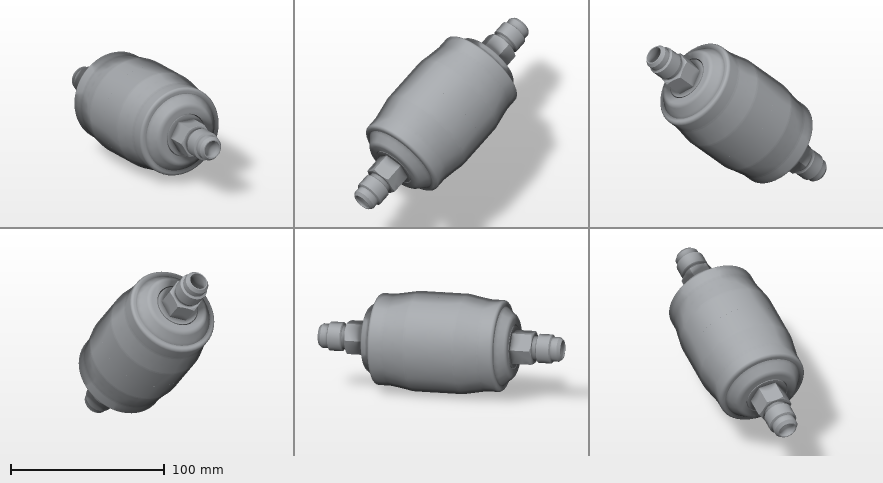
import cadquery as cq
import math

total_length = 163.8
tip_end = total_length / 2
tip_cone_base = 79.8
thread_outer_end = 75.5
thread_inner_end = 65.5
hex_end = 63.0
shell_end = 49.3
step_face = 42.3
taper_start = 32.3
taper_end = 16.5

belly_radius = 32.8
end_band_radius = 30.0
dome_step_radius = 26.0
dome_end_radius = 20.3
end_fillet = 3.6
step_fillet = 2.0
taper_blend = 8.2

bore_radius = 5.7
tip_radius = 6.4
neck_radius = 8.0
thread_radius = 9.5
thread_chamfer = 0.8
hex_flats = 20.1
hex_corner_chamfer = 0.8
collar_radius = 14.0
collar_clearance = 0.7
collar_depth = shell_end - step_face


def revolve_about_x(points):
    """Solid of revolution from (x, radius) outline points."""
    outline = cq.Workplane("XY").polyline(points).close()
    return outline.revolve(360, (0, 0, 0), (1, 0, 0))


def x_cylinder(radius, start, end):
    """Round bar along X between two stations."""
    return cq.Workplane("YZ").workplane(offset=start).circle(radius).extrude(end - start)


def round_rim(body, station, radius, fillet):
    """Fillet the one circular edge with this station and radius."""
    tolerance = 0.02
    rims = body.edges("%CIRCLE").filter(
        lambda edge: abs(edge.Center().x - station) < tolerance
        and abs(edge.radius() - radius) < tolerance
    )
    return rims.fillet(fillet)


def make_shell_half():
    """The +X half of the barrel-shaped shell, bored through, with a socket around the collar."""
    half = revolve_about_x([
        (0, 0),
        (0, belly_radius),
        (taper_end, belly_radius),
        (taper_start, end_band_radius),
        (step_face, end_band_radius),
        (step_face, dome_step_radius),
        (shell_end, dome_end_radius),
        (shell_end, 0),
    ])
    half = round_rim(half, taper_end, belly_radius, taper_blend)
    half = round_rim(half, taper_start, end_band_radius, taper_blend)
    half = round_rim(half, step_face, end_band_radius, step_fillet)
    half = round_rim(half, shell_end, dome_end_radius, end_fillet)
    socket = x_cylinder(collar_radius + collar_clearance, shell_end - collar_depth, shell_end)
    bore = x_cylinder(bore_radius, 0, shell_end)
    return half.cut(socket).cut(bore)


def make_hex():
    """Hexagon with corners on +Y and -Y, its outer corners turned off by a cone."""
    corner_radius = hex_flats / 2 / math.cos(math.pi / 6)
    hexagon = (
        cq.Workplane("YZ").workplane(offset=shell_end)
        .polygon(6, 2 * corner_radius).extrude(hex_end - shell_end)
    )
    turned_blank = revolve_about_x([
        (shell_end, 0),
        (shell_end, corner_radius),
        (hex_end - hex_corner_chamfer, corner_radius),
        (hex_end, hex_flats / 2),
        (hex_end, 0),
    ])
    return hexagon.intersect(turned_blank)


def make_fitting():
    """The +X flare fitting: collar, hexagon, neck, thread and coned tip, bored through."""
    collar = x_cylinder(collar_radius, shell_end - collar_depth, shell_end)
    spigot = revolve_about_x([
        (shell_end, 0),
        (shell_end, neck_radius),
        (thread_inner_end, neck_radius),
        (thread_inner_end + thread_chamfer, thread_radius),
        (thread_outer_end - thread_chamfer, thread_radius),
        (thread_outer_end, neck_radius),
        (tip_cone_base, neck_radius),
        (tip_end, tip_radius),
        (tip_end, 0),
    ])
    bore = x_cylinder(bore_radius, shell_end - collar_depth, tip_end)
    return collar.union(make_hex()).union(spigot).cut(bore)


bodies = []
for turn in (0, 180):
    for body in (make_shell_half(), make_fitting()):
        bodies.append(body.rotate((0, 0, 0), (0, 0, 1), turn).val())

result = cq.Compound.makeCompound(bodies)